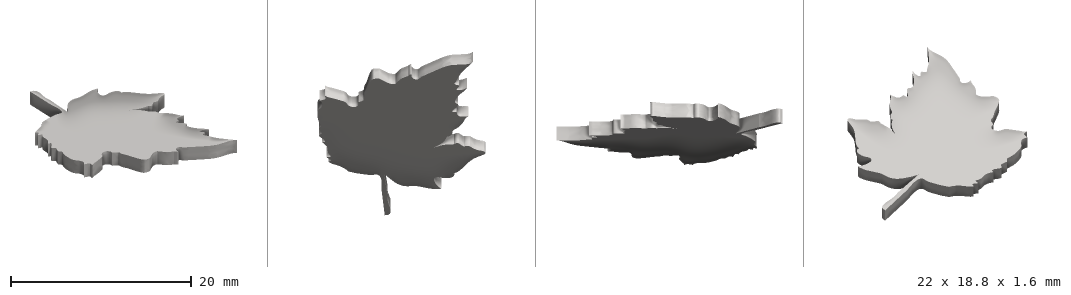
import cadquery as cq

LENGTH = 21.95
WIDTH = 18.82
THICKNESS = 1.6

STEM_END_LOWER = (0, 4.95)
STEM_END_UPPER = (0, 5.34)
STEM_BASE_UPPER = (6.57, 6.02)

LEFT_TIP = (3.03, 11.85)
LEFT_BAY_END = (5.14, 13.62)

UPPER_LEFT_SHOULDER = (8.98, 16.15)
UPPER_LEFT_STEP = (9.07, 15.5)
UPPER_LEFT_HIP = (9.62, 14.5)
SLIT_BOTTOM = (9.5, 12.05)

TOP_STEP = (10.91, 13.88)
TOP_TOOTH = (13.62, 16.8)
TOP_LEDGE = (14.54, 15.65)
TOP_LEDGE_FOOT = (14.63, 15.2)
HIGH_TOOTH = (18.05, 17.45)
HIGH_TOOTH_FOOT = (18.0, 16.25)
NUB_LEFT = (18.45, 16.65)
NUB_RIGHT = (18.65, 16.65)
NUB_FOOT = (18.95, 16.18)
MAIN_TIP = (LENGTH, WIDTH)

RIGHT_TOOTH_UPPER = (21.25, 11.8)
RIGHT_TOOTH_LOWER = (21.3, 11.68)
RIGHT_TOOTH_FOOT = (21.05, 11.35)
RIGHT_BAY = (20.1, 9.8)
RIGHT_LOBE = (21.24, 8.17)
RIGHT_LEDGE = (17.99, 5.23)
RIGHT_LEDGE_INNER = (17.7, 5.23)
LOWER_RIGHT_TIP = (19.72, 1.78)
LOWER_RIGHT_LEDGE = (19.15, 1.78)

CORNER_TOOTH = (19.05, 1.08)
BOTTOM_NOTCH = (15.06, 0.53)
SMALL_TOOTH = (14.7, 0.2)
SMALL_TOOTH_FOOT = (13.92, 0.4)
LOWEST_TOOTH = (13.62, 0)
LOWEST_TOOTH_FOOT = (12.55, 0.5)
MIDDLE_TOOTH = (12.5, 0.18)
MIDDLE_TOOTH_FOOT = (10.15, 0.8)
INNER_TOOTH = (10.1, 0.25)
INNER_TOOTH_FOOT = (9.55, 0.65)
LAST_TOOTH = (9.38, 0.3)
LOWER_LEFT_BEND = (7.49, 2.22)
STEM_BASE_LOWER = (3.82, 5.3)


def edge_to(path, end, *between):
    """Add one edge: a line, an arc through one point, or a spline through several."""
    if not between:
        return path.lineTo(*end)
    if len(between) == 1:
        return path.threePointArc(between[0], end)
    return path.spline([*between, end], includeCurrent=True)


def add_stem_top(path):
    path = edge_to(path, STEM_END_UPPER)
    path = edge_to(path, (2.95, 5.8), (0.2, 5.58), (0.42, 5.67), (0.92, 5.73), (1.71, 5.67), (2.44, 5.69))
    return edge_to(path, STEM_BASE_UPPER)


def add_left_lobe(path):
    path = edge_to(
        path, LEFT_TIP,
        (5.75, 6.41), (5.14, 6.79), (4.68, 7.14), (4.15, 7.85), (4.0, 8.48),
        (3.93, 9.05), (3.7, 9.66), (3.18, 10.74), (3.03, 11.29), (2.99, 11.64),
    )
    return edge_to(
        path, LEFT_BAY_END,
        (3.35, 11.57), (3.78, 11.4), (4.35, 11.29), (4.68, 11.35), (4.83, 11.53),
        (4.8, 11.9), (4.6, 12.39), (4.5, 12.85), (4.52, 13.22), (4.68, 13.53),
    )


def add_upper_left_lobe(path):
    path = edge_to(
        path, UPPER_LEFT_SHOULDER,
        (5.3, 14.12), (5.67, 14.63), (6.5, 15.5), (7.0, 16.23), (7.25, 16.87), (7.4, 17.35),
        (7.6, 17.63), (7.77, 17.63), (8.04, 17.35), (8.17, 17.02), (8.48, 16.58),
    )
    path = edge_to(path, UPPER_LEFT_STEP, (9.07, 15.9))
    path = edge_to(path, UPPER_LEFT_HIP, (9.6, 15.06), (9.73, 14.87), (9.73, 14.71))
    return edge_to(path, SLIT_BOTTOM, (9.7, 13.83), (9.7, 13.18), (9.6, 12.6))


def add_top_edge(path):
    path = edge_to(path, TOP_STEP, (9.68, 12.6), (9.93, 13.02), (10.52, 13.65))
    path = edge_to(
        path, TOP_TOOTH,
        (11.05, 14.35), (11.42, 14.63), (11.7, 14.71), (12.0, 15.13), (12.36, 15.65), (12.95, 16.16), (13.57, 16.67),
    )
    path = edge_to(path, TOP_LEDGE, (13.72, 16.2), (13.9, 15.8), (14.19, 15.65))
    path = edge_to(path, TOP_LEDGE_FOOT)
    path = edge_to(
        path, HIGH_TOOTH,
        (14.75, 15.2), (15.1, 15.57), (15.4, 15.88), (15.7, 16.0), (16.0, 15.8),
        (16.54, 15.95), (17.24, 16.54), (17.75, 17.2),
    )
    path = edge_to(path, HIGH_TOOTH_FOOT, (17.92, 17.06), (17.88, 16.58))
    path = edge_to(path, NUB_LEFT)
    path = edge_to(path, NUB_RIGHT)
    path = edge_to(path, NUB_FOOT, (18.73, 16.4))
    return edge_to(path, MAIN_TIP, (19.4, 16.51), (20.14, 16.98), (20.97, 17.75))


def add_right_edge(path):
    path = edge_to(
        path, RIGHT_TOOTH_UPPER,
        (21.78, 18.51), (21.76, 17.8), (21.87, 16.98), (21.9, 16.23), (21.72, 15.42), (21.35, 14.43),
        (20.88, 13.26), (20.65, 12.75), (20.4, 12.43), (20.38, 12.15), (20.5, 11.95),
    )
    path = edge_to(path, RIGHT_TOOTH_LOWER)
    path = edge_to(path, RIGHT_TOOTH_FOOT)
    path = edge_to(path, RIGHT_BAY, (20.97, 11.02), (20.8, 10.58), (20.47, 10.17))
    path = edge_to(path, RIGHT_LOBE, (20.12, 9.5), (20.35, 9.05))
    path = edge_to(
        path, RIGHT_LEDGE,
        (21.3, 7.8), (21.25, 7.42), (21.02, 7.2), (20.14, 6.75), (19.24, 6.32),
        (18.69, 6.02), (18.27, 5.9), (18.12, 5.67),
    )
    path = edge_to(path, RIGHT_LEDGE_INNER)
    path = edge_to(
        path, LOWER_RIGHT_TIP,
        (17.35, 4.83), (17.4, 4.48), (17.75, 4.05), (18.12, 3.9), (18.65, 3.34), (19.15, 2.5), (19.55, 1.89),
    )
    return edge_to(path, LOWER_RIGHT_LEDGE)


def add_bottom_edge(path):
    path = edge_to(path, CORNER_TOOTH, (19.06, 1.47))
    path = edge_to(
        path, BOTTOM_NOTCH,
        (18.82, 1.2), (18.25, 1.25), (17.99, 1.1), (17.55, 0.65), (16.85, 0.45), (16.0, 0.37), (15.5, 0.45),
    )
    path = edge_to(path, SMALL_TOOTH)
    path = edge_to(path, SMALL_TOOTH_FOOT)
    path = edge_to(path, LOWEST_TOOTH)
    path = edge_to(path, LOWEST_TOOTH_FOOT, (13.35, 0.1), (12.87, 0.45))
    path = edge_to(path, MIDDLE_TOOTH)
    path = edge_to(path, MIDDLE_TOOTH_FOOT, (12.03, 0.46), (11.46, 0.6), (10.87, 0.53), (10.47, 0.61))
    path = edge_to(path, INNER_TOOTH)
    path = edge_to(path, INNER_TOOTH_FOOT)
    return edge_to(path, LAST_TOOTH)


def add_lower_left_edge(path):
    path = edge_to(path, LOWER_LEFT_BEND, (8.9, 0.81), (8.65, 1.19), (8.15, 1.78))
    path = edge_to(
        path, STEM_BASE_LOWER,
        (7.07, 3.0), (6.63, 4.13), (6.48, 4.75), (6.43, 5.25), (6.25, 5.45), (5.85, 5.55), (5.0, 5.51),
    )
    return path.close()


outline = cq.Workplane("XY").moveTo(*STEM_END_LOWER)
for add_section in (
    add_stem_top,
    add_left_lobe,
    add_upper_left_lobe,
    add_top_edge,
    add_right_edge,
    add_bottom_edge,
    add_lower_left_edge,
):
    outline = add_section(outline)

result = outline.extrude(THICKNESS)